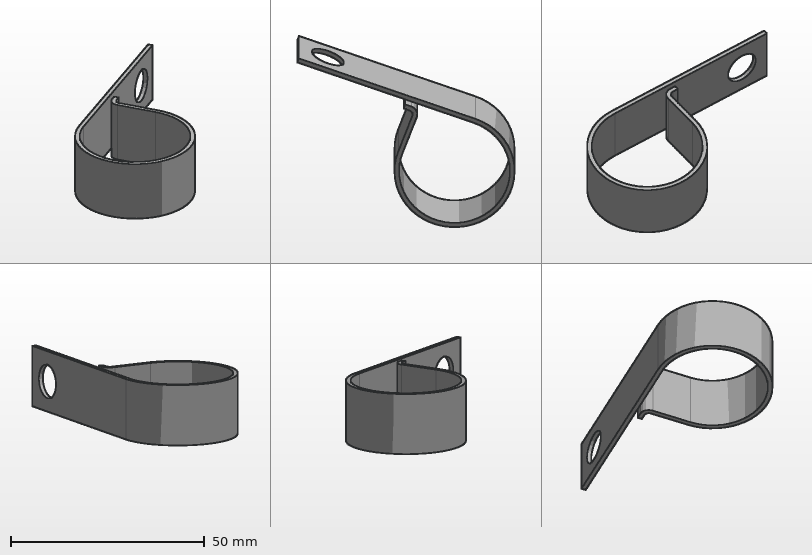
import cadquery as cq

length = 63.9
width = 15.9
thickness = 1.2
loop_diameter = 31.0
loop_radius = loop_diameter / 2
loop_radius_inner = loop_radius - thickness
leg_end = length - loop_radius

lip_gap = 1.3
lip_rise = 2.8
bend_radius = 2.4
bend_radius_inner = bend_radius - thickness
lip_x = -loop_radius_inner + lip_gap
lip_end = loop_radius + lip_rise
bend_x = lip_x + bend_radius
bend_y = loop_radius_inner + bend_radius

hole_diameter = 8.75
hole_from_end = 7.9


def clip_body():
    """Bent strip: straight leg, three-quarter loop, tangent run and lip."""
    diagonal = 0.5 ** 0.5
    outer_mid = loop_radius * diagonal
    inner_mid = loop_radius_inner * diagonal
    bend_mid = bend_radius * diagonal
    bend_mid_inner = bend_radius_inner * diagonal
    return (
        cq.Workplane("XY")
        .moveTo(-loop_radius, leg_end)
        .lineTo(-loop_radius, 0)
        .threePointArc((outer_mid, -outer_mid), (0, loop_radius))
        .lineTo(bend_x, loop_radius)
        .threePointArc(
            (bend_x - bend_mid_inner, bend_y - bend_mid_inner),
            (bend_x - bend_radius_inner, bend_y),
        )
        .lineTo(lip_x + thickness, lip_end)
        .lineTo(lip_x, lip_end)
        .lineTo(lip_x, bend_y)
        .threePointArc((bend_x - bend_mid, bend_y - bend_mid), (bend_x, loop_radius_inner))
        .lineTo(0, loop_radius_inner)
        .threePointArc((inner_mid, -inner_mid), (-loop_radius_inner, 0))
        .lineTo(-loop_radius_inner, leg_end)
        .close()
        .extrude(width)
    )


def mounting_hole():
    """Cutter passing through the straight leg only."""
    return (
        cq.Workplane("YZ", origin=(-loop_radius, 0, 0))
        .center(leg_end - hole_from_end, width / 2)
        .circle(hole_diameter / 2)
        .extrude(thickness)
    )


result = clip_body().cut(mounting_hole())